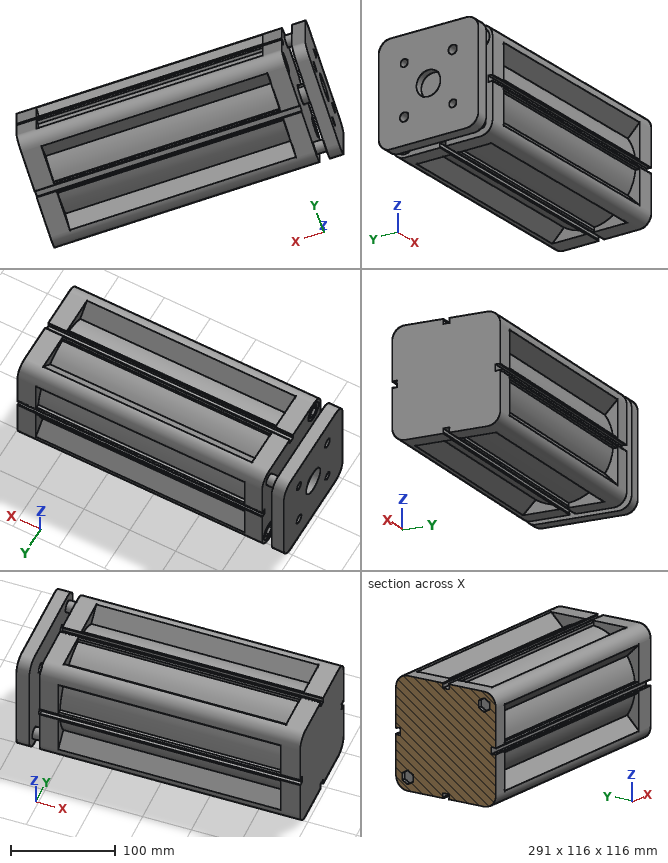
import cadquery as cq
import math

length = 291.0
width = 116.0
half_width = width / 2
corner_radius = 14.0
corner_centre = half_width - corner_radius

plate_thickness = 13.5
rod_gap = 10.5
front_cap_thickness = 19.2
rear_cap_thickness = 20.0
housing_start = plate_thickness + rod_gap
tube_start = housing_start + front_cap_thickness
tube_end = length - rear_cap_thickness

mount_offset = 28.2
large_mount_diameter = 10.0
small_mount_diameter = 8.5
centre_recess_diameter = 28.0
centre_recess_depth = 8.1

piston_rod_diameter = 20.0
piston_flat_width = 17.0
piston_collar_length = 1.0
piston_end_chamfer = 1.0
guide_rod_diameter = 12.2
guide_offset = 44.2

barrel_radius = 53.5
post_edge = 43.5
rail_half_width = 5.5
rail_chamfer = 1.5

slot_mouth_width = 6.0
slot_lip = 1.2
slot_width = 6.7
slot_depth = 5.2

screw_seat_diameter = 20.5
screw_seat_depth = 0.3
socket_sides = 6
socket_width = 12.0
socket_depth = 7.5

guide_corners = [(1, 1), (-1, -1)]
screw_corners = [(-1, 1), (1, -1)]


def section_at(x):
    """YZ sketch plane at x: local x is +Y, local y is +Z."""
    return cq.Workplane("YZ", origin=(x, 0, 0))


def corner_points(corners, offset):
    return [(y_sign * offset, z_sign * offset) for y_sign, z_sign in corners]


def rounded_bar(start, end):
    bar = section_at(start).rect(width, width).extrude(end - start)
    return bar.edges("|X").fillet(corner_radius)


def make_yoke_plate():
    plate = rounded_bar(0, plate_thickness)
    hole_groups = [(screw_corners, large_mount_diameter), (guide_corners, small_mount_diameter)]
    for corners, diameter in hole_groups:
        points = corner_points(corners, mount_offset)
        plate = plate.cut(section_at(0).pushPoints(points).circle(diameter / 2).extrude(plate_thickness))
    recess = section_at(0).circle(centre_recess_diameter / 2).extrude(centre_recess_depth)
    return plate.cut(recess)


def arc_height(y):
    """Height of the rounded corner's circle at the given Y."""
    return corner_centre + math.sqrt(corner_radius**2 - (y - corner_centre) ** 2)


def make_side_groove():
    """Hollow between a corner post and the sensor rail, on the +Z side at +Y."""
    post_tip = arc_height(post_edge)
    post_arc_middle = (corner_centre + post_edge) / 2
    rise = post_tip - post_edge
    post_foot = (math.sqrt(2 * barrel_radius**2 - rise**2) - rise) / 2
    rail_foot_height = math.sqrt(barrel_radius**2 - rail_half_width**2)
    post_angle = math.atan2(post_foot + rise, post_foot)
    rail_angle = math.atan2(rail_foot_height, rail_half_width)
    middle_angle = (post_angle + rail_angle) / 2
    barrel_middle = (barrel_radius * math.cos(middle_angle), barrel_radius * math.sin(middle_angle))
    return (
        section_at(tube_start)
        .moveTo(corner_centre, half_width)
        .threePointArc((post_arc_middle, arc_height(post_arc_middle)), (post_edge, post_tip))
        .lineTo(post_foot, post_foot + rise)
        .threePointArc(barrel_middle, (rail_half_width, rail_foot_height))
        .lineTo(rail_half_width, half_width - rail_chamfer)
        .lineTo(rail_half_width - rail_chamfer, half_width)
        .close()
        .extrude(tube_end - tube_start)
    )


def make_sensor_slot():
    """T-slot along the +Z side, open at both ends of the housing."""
    slot_length = length - housing_start
    floor_height = half_width - slot_depth
    mouth = section_at(housing_start).center(0, floor_height + slot_depth / 2)
    mouth = mouth.rect(slot_mouth_width, slot_depth)
    undercut_depth = slot_depth - slot_lip
    undercut = section_at(housing_start).center(0, floor_height + undercut_depth / 2)
    undercut = undercut.rect(slot_width, undercut_depth)
    return mouth.extrude(slot_length).union(undercut.extrude(slot_length))


def make_screw_recesses():
    """Shallow round seats with hexagon sockets, in the front face of the front cap."""
    points = corner_points(screw_corners, guide_offset)
    recesses = section_at(housing_start).pushPoints(points).circle(screw_seat_diameter / 2)
    recesses = recesses.extrude(screw_seat_depth)
    half_flat_angle = 180 / socket_sides
    socket_corner_diameter = socket_width / math.cos(math.radians(half_flat_angle))
    socket = section_at(housing_start).polygon(socket_sides, socket_corner_diameter)
    socket = socket.extrude(screw_seat_depth + socket_depth)
    socket = socket.rotate((0, 0, 0), (1, 0, 0), half_flat_angle)
    for y, z in points:
        recesses = recesses.union(socket.translate((0, y, z)))
    return recesses


def make_housing():
    housing = rounded_bar(housing_start, length)
    groove = make_side_groove()
    side_cuts = [groove, groove.mirror("XZ"), make_sensor_slot()]
    for angle in (0, 90, 180, 270):
        for cut in side_cuts:
            housing = housing.cut(cut.rotate((0, 0, 0), (1, 0, 0), angle))
    return housing.cut(make_screw_recesses())


def make_piston_rod():
    """Rod chamfered at the plate, flatted on +Y and -Y, with a full collar at the housing."""
    rod = section_at(plate_thickness).circle(piston_rod_diameter / 2).extrude(rod_gap)
    rod = rod.faces("<X").chamfer(piston_end_chamfer)
    flat_length = rod_gap - piston_collar_length
    flatted = section_at(plate_thickness).rect(piston_flat_width, piston_rod_diameter).extrude(flat_length)
    collar = section_at(plate_thickness + flat_length).circle(piston_rod_diameter / 2)
    return rod.intersect(flatted).union(collar.extrude(piston_collar_length))


def make_guide_rod(y, z):
    return section_at(plate_thickness).center(y, z).circle(guide_rod_diameter / 2).extrude(rod_gap)


yoke_plate = make_yoke_plate()
housing = make_housing()
piston_rod = make_piston_rod()
guide_rods = [make_guide_rod(y, z) for y, z in corner_points(guide_corners, guide_offset)]

result = cq.Compound.makeCompound(
    [yoke_plate.val(), housing.val(), piston_rod.val(), *[rod.val() for rod in guide_rods]]
)